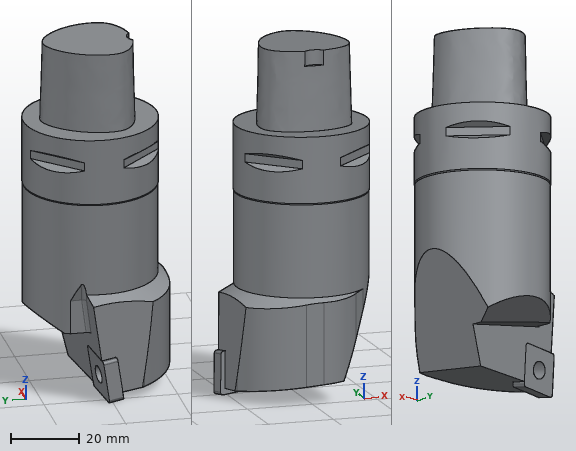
import cadquery as cq
import math

TOTAL_HEIGHT = 104.0
BIG = 156.0

FLANGE_RADIUS = 40.0 / 2
FLANGE_TOP = 80.0
FLANGE_BOTTOM = 59.6
NECK_RADIUS = 39.7 / 2
FLANGE_CHAMFER = 0.4
HEAD_TOP = 31.6

SHANK_BASE_RADIUS = 13.9
SHANK_TOP_RADIUS = 13.3
SHANK_BASE_LOBE = 1.0
SHANK_TOP_LOBE = 0.9
SHANK_POINTS = 36
KEY_WIDTH = 6.0
KEY_HEIGHT = 4.5
KEY_FLOOR_Y = -11.0
KEY_SIDE_Y = -12.4

GROOVE_COUNT = 4
GROOVE_Z = 71.8
GROOVE_FLOOR_DISTANCE = 17.7
GROOVE_FLOOR_HEIGHT = 2.5
GROOVE_MOUTH_HEIGHT = 5.1

HEAD_FRONT_Y = -22.2
LEFT_ARC_X = -5.6
LEFT_ARC_RADIUS = 19.9
LEFT_ARC_END_ANGLE = math.radians(206.6)
HEAD_LEFT_LIMIT = -31.2
RIGHT_ARC_X = -0.2
RIGHT_ARC_RADIUS = 15.6
RIGHT_ARC_END_ANGLE = math.radians(-42)
HEAD_BACK_Y = 10.4
SHOULDER_SLOPE = 0.47

FLANK_POINT = (-25.3, 0.6, 3.1)
FLANK_NORMAL = (-1, -0.138, 0.065)
BOTTOM_POINT = (-25.0, 0.3, 2.0)
BOTTOM_NORMAL = (0.068, -0.095, -1)
RELIEF_POINT = (5.4, 0, 3.6)
RELIEF_NORMAL = (2.34, 0, -1)
RAKE_POINT = (-26.7, 0, 0)
RAKE_X_SLOPE = 0.155
RAKE_NORMAL = (-RAKE_X_SLOPE, 1, -0.13)

CEILING_FALL = 0.15
CEILING_Z = 16.5
CEILING_BEND_Y = 11.3
CEILING_RISE = 0.75
POCKET_WALL_X = -17.4
POCKET_WALL_TOP = 29.4
POCKET_RUNOUT_X = -21.0
POCKET_RUNOUT_Z = 44.0
POCKET_FILLET = 1.2

INSERT_EDGE = 12.9
INSERT_ANGLE = math.radians(80)
INSERT_TILT = math.radians(5.5)
INSERT_THICKNESS = 4.5
INSERT_CORNER = 0.8
INSERT_HOLE = 5.2
INSERT_TIP = (-0.2, 0.1)


def half_space(point, normal):
    """Large block lying on the outward side of a plane."""
    return cq.Workplane(cq.Plane(point, normal=normal)).rect(2 * BIG, 2 * BIG).extrude(BIG)


def lobed_point(angle, radius, lobe):
    """Point of a smooth three-lobed curve with one lobe toward +Y."""
    phase = 3 * (angle - math.pi / 2)
    reach = radius + lobe * math.cos(phase)
    drift = -3 * lobe * math.sin(phase)
    return (
        reach * math.cos(angle) - drift * math.sin(angle),
        reach * math.sin(angle) + drift * math.cos(angle),
    )


def lobed_outline(radius, lobe):
    step = 2 * math.pi / SHANK_POINTS
    return [lobed_point(i * step, radius, lobe) for i in range(SHANK_POINTS)]


def make_shank():
    shank = (
        cq.Workplane("XY", origin=(0, 0, FLANGE_TOP))
        .spline(lobed_outline(SHANK_BASE_RADIUS, SHANK_BASE_LOBE), periodic=True).close()
        .workplane(offset=TOTAL_HEIGHT - FLANGE_TOP)
        .spline(lobed_outline(SHANK_TOP_RADIUS, SHANK_TOP_LOBE), periodic=True).close()
        .loft(ruled=True, combine=True)
    )
    half_width = KEY_WIDTH / 2
    key_slot = (
        cq.Workplane("XY", origin=(0, 0, TOTAL_HEIGHT - KEY_HEIGHT))
        .moveTo(-half_width, -2 * SHANK_BASE_RADIUS)
        .lineTo(-half_width, KEY_SIDE_Y)
        .threePointArc((0, KEY_FLOOR_Y), (half_width, KEY_SIDE_Y))
        .lineTo(half_width, -2 * SHANK_BASE_RADIUS)
        .close()
        .extrude(KEY_HEIGHT)
    )
    return shank.cut(key_slot)


def gripper_groove(angle):
    """Straight groove with sloped sides, cut across the flange at one angle."""
    depth = FLANGE_RADIUS - GROOVE_FLOOR_DISTANCE
    side_slope = (GROOVE_MOUTH_HEIGHT - GROOVE_FLOOR_HEIGHT) / 2 / depth
    outer_half = GROOVE_FLOOR_HEIGHT / 2 + 2 * depth * side_slope
    floor_half = GROOVE_FLOOR_HEIGHT / 2
    outer_x = GROOVE_FLOOR_DISTANCE + 2 * depth
    return (
        cq.Workplane("XZ", origin=(0, 0, GROOVE_Z))
        .polyline([
            (GROOVE_FLOOR_DISTANCE, -floor_half),
            (outer_x, -outer_half),
            (outer_x, outer_half),
            (GROOVE_FLOOR_DISTANCE, floor_half),
        ]).close()
        .extrude(FLANGE_RADIUS, both=True)
        .rotate((0, 0, 0), (0, 0, 1), angle)
    )


def make_flange():
    flange = (
        cq.Workplane("XY", origin=(0, 0, FLANGE_BOTTOM))
        .circle(FLANGE_RADIUS).extrude(FLANGE_TOP - FLANGE_BOTTOM)
        .faces("<Z").edges().chamfer(FLANGE_CHAMFER, FLANGE_RADIUS - NECK_RADIUS)
    )
    step = 360 / GROOVE_COUNT
    for i in range(GROOVE_COUNT):
        flange = flange.cut(gripper_groove((i + 0.5) * step))
    return flange


def arc_point(center_x, radius, angle):
    """Point on a head arc whose lowest point touches the flat front."""
    center_y = HEAD_FRONT_Y + radius
    return (center_x + radius * math.cos(angle), center_y + radius * math.sin(angle))


def make_head():
    down = math.radians(270)
    left_end = arc_point(LEFT_ARC_X, LEFT_ARC_RADIUS, LEFT_ARC_END_ANGLE)
    left_middle = arc_point(LEFT_ARC_X, LEFT_ARC_RADIUS, (LEFT_ARC_END_ANGLE + down) / 2)
    right_end = arc_point(RIGHT_ARC_X, RIGHT_ARC_RADIUS, RIGHT_ARC_END_ANGLE)
    right_middle = arc_point(RIGHT_ARC_X, RIGHT_ARC_RADIUS, (RIGHT_ARC_END_ANGLE - math.pi / 2) / 2)
    neck_tangent = (
        NECK_RADIUS * math.cos(RIGHT_ARC_END_ANGLE),
        NECK_RADIUS * math.sin(RIGHT_ARC_END_ANGLE),
    )
    tangent_slope = -1 / math.tan(LEFT_ARC_END_ANGLE)
    left_limit_y = left_end[1] + tangent_slope * (HEAD_LEFT_LIMIT - left_end[0])
    head = (
        cq.Workplane("XY")
        .moveTo(HEAD_LEFT_LIMIT, left_limit_y)
        .lineTo(*left_end)
        .threePointArc(left_middle, (LEFT_ARC_X, HEAD_FRONT_Y))
        .lineTo(RIGHT_ARC_X, HEAD_FRONT_Y)
        .threePointArc(right_middle, right_end)
        .lineTo(*neck_tangent)
        .lineTo(0, 0)
        .lineTo(0, HEAD_BACK_Y)
        .lineTo(HEAD_LEFT_LIMIT, HEAD_BACK_Y)
        .close()
        .extrude(HEAD_TOP)
    )
    cone_radius = 3 * NECK_RADIUS
    cone_rim_z = HEAD_TOP - SHOULDER_SLOPE * (cone_radius - NECK_RADIUS)
    shoulder = (
        cq.Workplane("XZ")
        .polyline([
            (0, cone_rim_z),
            (cone_radius, cone_rim_z),
            (NECK_RADIUS, HEAD_TOP),
            (0, HEAD_TOP),
        ]).close()
        .revolve(360, (0, 0, 0), (0, 1, 0))
        .union(cq.Workplane("XY").circle(cone_radius).extrude(cone_rim_z))
    )
    head = head.intersect(shoulder)
    head = head.cut(half_space(FLANK_POINT, FLANK_NORMAL))
    return head.cut(half_space(RAKE_POINT, RAKE_NORMAL))


def make_chip_pocket():
    """Space cleared behind the rake plane, below the ceiling and beside the wall."""
    start_z = CEILING_Z + CEILING_FALL * BIG / 2
    rise = CEILING_RISE * (BIG - CEILING_BEND_Y)
    below_ceiling = cq.Solid.extrudeLinear(
        cq.Wire.makePolygon([
            cq.Vector(-BIG / 2, -BIG, -BIG),
            cq.Vector(-BIG / 2, BIG, -BIG),
            cq.Vector(-BIG / 2, BIG, start_z + rise),
            cq.Vector(-BIG / 2, CEILING_BEND_Y, start_z),
            cq.Vector(-BIG / 2, -BIG, start_z),
        ], close=True),
        [],
        cq.Vector(BIG, 0, -CEILING_FALL * BIG),
    )
    beside_wall = (
        cq.Workplane("XZ")
        .polyline([
            (POCKET_WALL_X, 0),
            (POCKET_WALL_X, POCKET_WALL_TOP),
            (POCKET_RUNOUT_X, POCKET_RUNOUT_Z),
            (-BIG, POCKET_RUNOUT_Z),
            (-BIG, 0),
        ]).close()
        .extrude(BIG, both=True)
    )
    behind_rake = half_space(RAKE_POINT, RAKE_NORMAL)
    wall_corners = cq.selectors.BoxSelector(
        (POCKET_RUNOUT_X + 1, -BIG / 4, 1),
        (POCKET_WALL_X + 1, BIG / 4, POCKET_RUNOUT_Z - 1),
    )
    beside_wall = beside_wall.intersect(behind_rake).edges(wall_corners).fillet(POCKET_FILLET)
    return beside_wall.union(cq.Workplane(below_ceiling).intersect(behind_rake))


def make_insert_blank():
    """Insert without its hole; its top face lies in the rake plane."""
    rake_plane = cq.Plane(RAKE_POINT, xDir=(1, RAKE_X_SLOPE, 0), normal=RAKE_NORMAL)
    bottom = (INSERT_EDGE * math.cos(INSERT_TILT), -INSERT_EDGE * math.sin(INSERT_TILT))
    side_angle = INSERT_TILT + INSERT_ANGLE
    side = (INSERT_EDGE * math.cos(side_angle), -INSERT_EDGE * math.sin(side_angle))
    x, y = INSERT_TIP
    blank = (
        cq.Workplane(rake_plane)
        .polyline([
            (x, y),
            (x + bottom[0], y + bottom[1]),
            (x + bottom[0] + side[0], y + bottom[1] + side[1]),
            (x + side[0], y + side[1]),
        ]).close()
        .extrude(-INSERT_THICKNESS)
    )
    corners = cq.selectors.ParallelDirSelector(rake_plane.zDir)
    blank = blank.edges(corners).fillet(INSERT_CORNER)
    hole = (
        cq.Workplane(rake_plane)
        .center(x + (bottom[0] + side[0]) / 2, y + (bottom[1] + side[1]) / 2)
        .circle(INSERT_HOLE / 2).extrude(-INSERT_THICKNESS)
    )
    return blank, hole


def make_holder(insert_blank):
    neck = cq.Workplane("XY").circle(NECK_RADIUS).extrude(FLANGE_BOTTOM)
    holder = neck.cut(make_chip_pocket()).union(make_head())
    holder = holder.cut(half_space(BOTTOM_POINT, BOTTOM_NORMAL))
    holder = holder.cut(half_space(RELIEF_POINT, RELIEF_NORMAL))
    return holder.union(make_flange()).union(make_shank()).cut(insert_blank)


insert_blank, insert_hole = make_insert_blank()
insert = insert_blank.cut(insert_hole)
holder = make_holder(insert_blank)

result = cq.Compound.makeCompound([holder.val(), insert.val()])